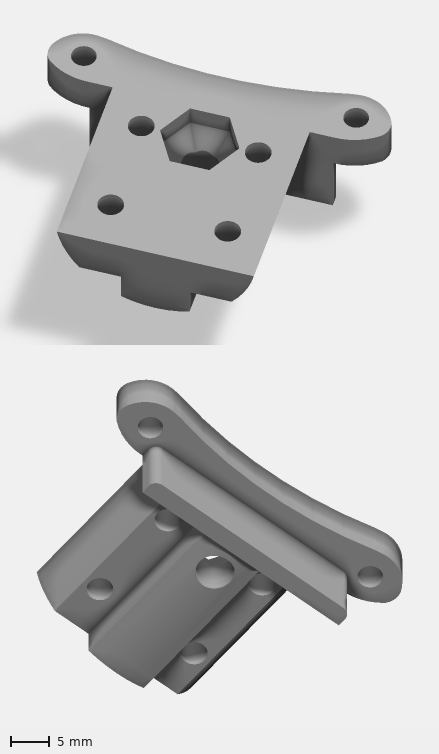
import cadquery as cq

flange_width = 32.9
flange_thickness = 2.5
flange_height = 13.7
flange_corner_radius = 1.25

ear_thickness = 5.2
ear_tip_x = 23.12
ear_front_y = 25.5
ear_flat_end_x = flange_width / 2
ear_front_corner = (22.5, 27.55)
ear_front_bulge = (19.9, 26.05)
ear_tip_y = 29.3
ear_back_corner = (22.9, 30.35)
ear_back_bulge = (20.65, 32.75)
ear_crest = (17.65, 33.35)
ear_shoulder = (16.35, 33.15)
back_middle_y = 31.2

rail_half_width = 13.3
rail_depth = 10.85
shoulder_depth = 6.15
key_half_width = 4.62
rail_radius = (rail_half_width**2 + rail_depth**2) / (2 * rail_depth)
rail_axis_z = rail_radius - rail_depth

ear_hole_diameter = 3.35
ear_hole_x = 18.4
ear_hole_y = 29.5
screw_hole_diameter = 3.45
screw_hole_x = 7.9
front_screw_y = 6.35
back_screw_y = 20.25

nut_y = back_screw_y
nut_corner_diameter = 10.75
nut_pocket_depth = 2.8
nut_floor_drop = nut_corner_diameter / 2
nut_apex_diameter = 0.01
bore_diameter = 5.1


def mirrored(point):
    return (-point[0], point[1])


def make_eared_plate():
    return (
        cq.Workplane("XY")
        .moveTo(-ear_flat_end_x, ear_front_y)
        .lineTo(ear_flat_end_x, ear_front_y)
        .threePointArc(ear_front_bulge, ear_front_corner)
        .threePointArc((ear_tip_x, ear_tip_y), ear_back_corner)
        .threePointArc(ear_back_bulge, ear_crest)
        .lineTo(*ear_shoulder)
        .threePointArc((0, back_middle_y), mirrored(ear_shoulder))
        .lineTo(*mirrored(ear_crest))
        .threePointArc(mirrored(ear_back_bulge), mirrored(ear_back_corner))
        .threePointArc((-ear_tip_x, ear_tip_y), mirrored(ear_front_corner))
        .threePointArc(mirrored(ear_front_bulge), (-ear_flat_end_x, ear_front_y))
        .close()
        .extrude(-ear_thickness)
    )


def make_rail():
    length = ear_front_y + flange_thickness
    cylinder = cq.Workplane("XZ").center(0, rail_axis_z).circle(rail_radius).extrude(-length)
    upper = cq.Workplane("XY").rect(2 * rail_half_width, 2 * length).extrude(-shoulder_depth)
    key = cq.Workplane("XY").rect(2 * key_half_width, 2 * length).extrude(-rail_depth)
    return cylinder.intersect(upper.union(key))


def make_flange():
    return (
        cq.Workplane("XY")
        .center(0, ear_front_y + flange_thickness / 2)
        .rect(flange_width, flange_thickness)
        .extrude(-flange_height)
        .edges("|Z and >Y")
        .fillet(flange_corner_radius)
    )


def make_holes(points, diameter):
    return cq.Workplane("XY").pushPoints(points).circle(diameter / 2).extrude(-flange_height)


def make_nut_pocket():
    pocket = (
        cq.Workplane("XY")
        .center(0, nut_y)
        .polygon(6, nut_corner_diameter)
        .extrude(-nut_pocket_depth)
    )
    floor = (
        cq.Workplane("XY", origin=(0, nut_y, -nut_pocket_depth))
        .polygon(6, nut_corner_diameter)
        .workplane(offset=-nut_floor_drop)
        .polygon(6, nut_apex_diameter)
        .loft(ruled=True)
    )
    return pocket.union(floor).union(make_holes([(0, nut_y)], bore_diameter))


ear_points = [(side * ear_hole_x, ear_hole_y) for side in (-1, 1)]
screw_points = [(side * screw_hole_x, y) for side in (-1, 1) for y in (front_screw_y, back_screw_y)]

result = (
    make_eared_plate()
    .union(make_rail())
    .union(make_flange())
    .cut(make_holes(ear_points, ear_hole_diameter))
    .cut(make_holes(screw_points, screw_hole_diameter))
    .cut(make_nut_pocket())
)